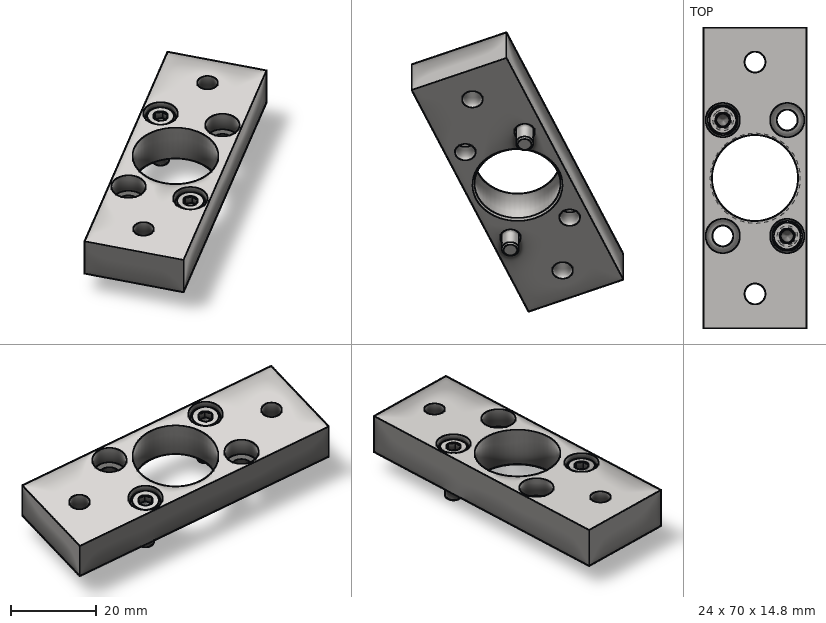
import cadquery as cq
import math

plate_width = 24.0
plate_length = 70.0
plate_thickness = 10.0
bore_diameter = 20.0
bore_chamfer = 0.5
clearance_diameter = 4.8
end_hole_spacing = 54.0

pattern_width = 15.0
pattern_length = 27.0
counterbore_diameter = 8.0
counterbore_depth = 4.8

shank_diameter = 4.0
shank_length = 10.0
tip_chamfer = 0.42
head_diameter = 7.0
head_height = 4.0
head_edge_chamfer = 0.4
socket_flats = 3.0
socket_depth = 2.0
hexagon_turn = 30.0
socket_point_angle = 120.0
socket_lead_in_angle = 90.0

seat_height = plate_thickness - counterbore_depth
screw_positions = [
    (-pattern_width / 2, pattern_length / 2),
    (pattern_width / 2, -pattern_length / 2),
]


def make_plate():
    """Rectangular plate with a centre bore, two end holes and four counterbored holes."""
    blank = cq.Workplane("XY").box(
        plate_width, plate_length, plate_thickness, centered=(True, True, False)
    )
    bored = (
        blank.faces(">Z")
        .workplane()
        .hole(bore_diameter)
        .faces("<Z")
        .edges("%CIRCLE")
        .chamfer(bore_chamfer)
    )
    end_drilled = (
        bored.faces(">Z")
        .workplane(origin=(0, 0, plate_thickness))
        .rarray(1, end_hole_spacing, 1, 2)
        .hole(clearance_diameter)
    )
    return (
        end_drilled.faces(">Z")
        .workplane(origin=(0, 0, plate_thickness))
        .rarray(pattern_width, pattern_length, 2, 2)
        .cboreHole(clearance_diameter, counterbore_diameter, counterbore_depth)
    )


def make_cone(base_radius, point_angle, base_height):
    """Cone pointing down from base_height, with the full angle point_angle at its tip."""
    depth = base_radius / math.tan(math.radians(point_angle / 2))
    return (
        cq.Workplane("XZ")
        .moveTo(0, base_height)
        .lineTo(base_radius, base_height)
        .lineTo(0, base_height - depth)
        .close()
        .revolve(360, (0, 0, 0), (0, 1, 0))
    )


def make_socket():
    """Cutter for the hexagon socket: a hexagon, a conical bottom and a conical lead-in."""
    corner_diameter = socket_flats / math.cos(math.pi / 6)
    floor_height = head_height - socket_depth
    hexagon = (
        cq.Workplane("XY")
        .workplane(offset=floor_height)
        .transformed(rotate=(0, 0, hexagon_turn))
        .polygon(6, corner_diameter)
        .extrude(socket_depth)
    )
    bottom_cone = make_cone(socket_flats / 2, socket_point_angle, floor_height)
    lead_in_cone = make_cone(corner_diameter / 2, socket_lead_in_angle, head_height)
    return hexagon.union(bottom_cone).union(lead_in_cone)


def make_screw(x, y):
    """Socket head cap screw at (x, y), its head seated on the counterbore floor."""
    shank = (
        cq.Workplane("XY")
        .circle(shank_diameter / 2)
        .extrude(-shank_length)
        .faces("<Z")
        .chamfer(tip_chamfer)
    )
    head = (
        cq.Workplane("XY")
        .circle(head_diameter / 2)
        .extrude(head_height)
        .faces(">Z")
        .edges()
        .chamfer(head_edge_chamfer)
    )
    screw = head.union(shank).cut(make_socket())
    return screw.translate((x, y, seat_height))


plate = make_plate()
screws = [make_screw(x, y) for x, y in screw_positions]

result = cq.Compound.makeCompound([plate.val(), *[screw.val() for screw in screws]])